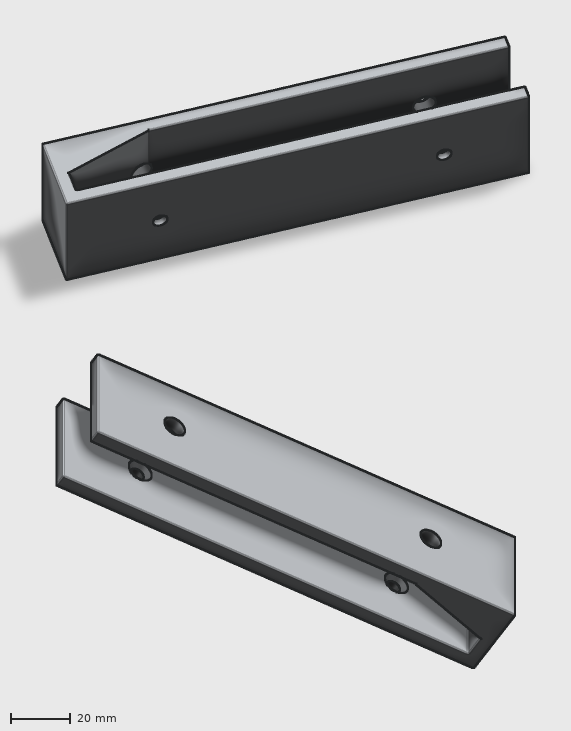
import cadquery as cq

length = 163.0
width = 28.0
height = 40.0
wall = 5.0
edge_radius = 0.5

wedge_tip_x = 15.0
wedge_end_y = 36.0

screw_diameter = 5.0
access_diameter = 8.0
countersink_diameter = 9.0
hole_spacing = 100.0
open_end_to_hole = 30.0
hole_z = height / 2
inner_right_x = width - wall
far_hole_y = length - open_end_to_hole
hole_positions = (far_hole_y - hole_spacing, far_hole_y)


def make_channel():
    """U-shaped channel, open at the +Y end, with all edges rounded."""
    block = cq.Workplane("XY").box(width, length, height, centered=False)
    slot = (
        cq.Workplane("XY")
        .box(width - 2 * wall, length - wall, height, centered=False)
        .translate((wall, wall, 0))
    )
    return block.cut(slot).edges().fillet(edge_radius)


def make_wedge():
    """Sharp-edged wedge that narrows the channel towards its closed end."""
    seat = wall / 2
    return (
        cq.Workplane("XY")
        .moveTo(seat, seat)
        .lineTo(wedge_tip_x, seat)
        .lineTo(wedge_tip_x, wall)
        .lineTo(wall, wedge_end_y)
        .lineTo(seat, wedge_end_y)
        .close()
        .extrude(height)
    )


def make_screw_hole(y):
    """Access hole through the left side and a countersunk hole in the right wall."""
    left_face = cq.Workplane("YZ").center(y, hole_z)
    access = left_face.circle(access_diameter / 2).extrude(inner_right_x)
    screw = (
        cq.Workplane("YZ", origin=(width, y, hole_z))
        .transformed(rotate=(0, 180, 0))
        .circle(screw_diameter / 2)
        .extrude(wall)
    )
    sink_depth = (countersink_diameter - screw_diameter) / 2
    sink = (
        cq.Workplane("YZ", origin=(inner_right_x, y, hole_z))
        .circle(countersink_diameter / 2)
        .workplane(offset=sink_depth)
        .circle(screw_diameter / 2)
        .loft(ruled=True)
    )
    return access.union(screw).union(sink)


result = make_channel().union(make_wedge())
for position in hole_positions:
    result = result.cut(make_screw_hole(position))